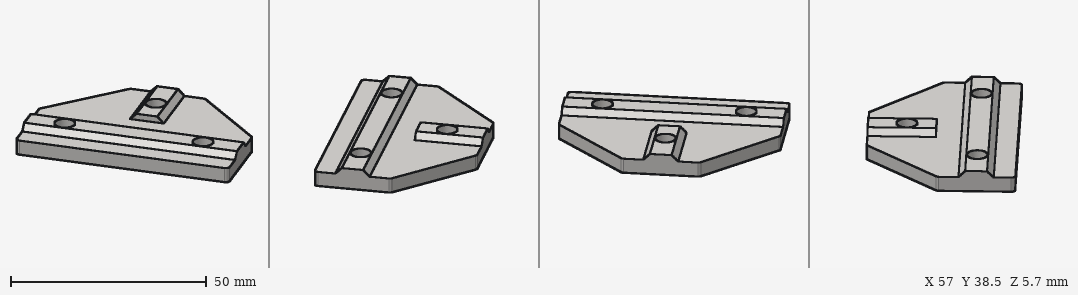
import cadquery as cq

length = 57.0
depth = 38.5
height = 5.7
rail_height = 1.7
plate_thickness = height - rail_height
corner_cut = 18.5
corner_radius = 1.0

rail_base_width = 9.0
rail_slope = rail_height
short_rail_length = 17.5

hole_diameter = 5.3
front_hole_spacing = 37.0
front_hole_y = 10.0
back_hole_y = 28.5


def rail_profile(workplane, center):
    """Draw the trapezoid of a rail standing on the plate's top face."""
    half_base = rail_base_width / 2
    half_top = half_base - rail_slope
    return workplane.polyline([
        (center - half_base, plate_thickness),
        (center + half_base, plate_thickness),
        (center + half_top, height),
        (center - half_top, height),
    ]).close()


plate = (
    cq.Workplane("XY")
    .polyline([
        (-length / 2, 0),
        (length / 2, 0),
        (length / 2, depth - corner_cut),
        (length / 2 - corner_cut, depth),
        (-length / 2 + corner_cut, depth),
        (-length / 2, depth - corner_cut),
    ])
    .close()
    .extrude(plate_thickness)
    .edges("|Z")
    .fillet(corner_radius)
)

long_rail = rail_profile(cq.Workplane("YZ"), front_hole_y).extrude(length / 2, both=True)

short_rail = rail_profile(cq.Workplane("XZ", origin=(0, depth, 0)), 0).extrude(short_rail_length)

hole_centers = [
    (-front_hole_spacing / 2, front_hole_y),
    (front_hole_spacing / 2, front_hole_y),
    (0, back_hole_y),
]
holes = cq.Workplane("XY").pushPoints(hole_centers).circle(hole_diameter / 2).extrude(height)

result = plate.union(long_rail).union(short_rail).cut(holes)